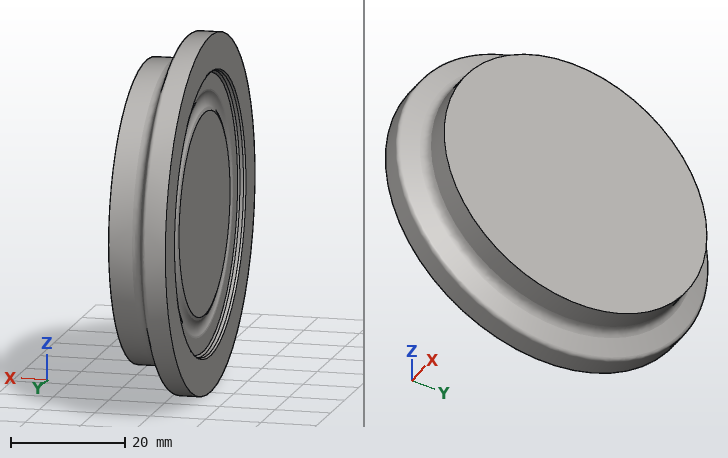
import cadquery as cq
import math

flange_radius = 32.0
hub_radius = 27.0
total_length = 11.5
cone_start = 4.1
cone_angle = math.radians(20)
rim_fillet = 0.8
hub_fillet = 1.85

recess_outer_radius = 25.5
recess_wall_diameter = 50.5
recess_floor_radius = 24.8
recess_lip_depth = 0.4
recess_wall_depth = 1.0
recess_depth = 1.35

channel_outer_radius = 21.9
channel_lip_radius = 21.6
channel_lip_depth = 1.4
channel_bottom_radius = 19.85
channel_depth = 1.7
disc_wall_radius = 18.75
disc_wall_depth = 1.2
disc_radius = 18.2
disc_depth = 1.0


def revolve_about_x(profile):
    return profile.close().revolve(360, (0, 0, 0), (1, 0, 0))


def make_body():
    cone_end = cone_start + (flange_radius - hub_radius) * math.tan(cone_angle)
    profile = (
        cq.Workplane("XY")
        .lineTo(0, flange_radius)
        .lineTo(cone_start, flange_radius)
        .lineTo(cone_end, hub_radius)
        .lineTo(total_length, hub_radius)
        .lineTo(total_length, 0)
    )
    body = revolve_about_x(profile)
    rim_edge = cq.selectors.NearestToPointSelector((cone_start, 0, 0))
    hub_edge = cq.selectors.NearestToPointSelector((cone_end, 0, 0))
    body = body.edges("%CIRCLE").edges(rim_edge).fillet(rim_fillet)
    return body.edges("%CIRCLE").edges(hub_edge).fillet(hub_fillet)


def make_recess():
    profile = (
        cq.Workplane("XY")
        .lineTo(0, recess_outer_radius)
        .lineTo(recess_lip_depth, recess_wall_diameter / 2)
        .lineTo(recess_wall_depth, recess_wall_diameter / 2)
        .lineTo(recess_depth, recess_floor_radius)
        .lineTo(recess_depth, channel_outer_radius)
        .lineTo(channel_lip_depth, channel_lip_radius)
        .threePointArc(
            (channel_depth, channel_bottom_radius),
            (disc_wall_depth, disc_wall_radius),
        )
        .lineTo(disc_depth, disc_radius)
        .lineTo(disc_depth, 0)
    )
    return revolve_about_x(profile)


result = make_body().cut(make_recess())